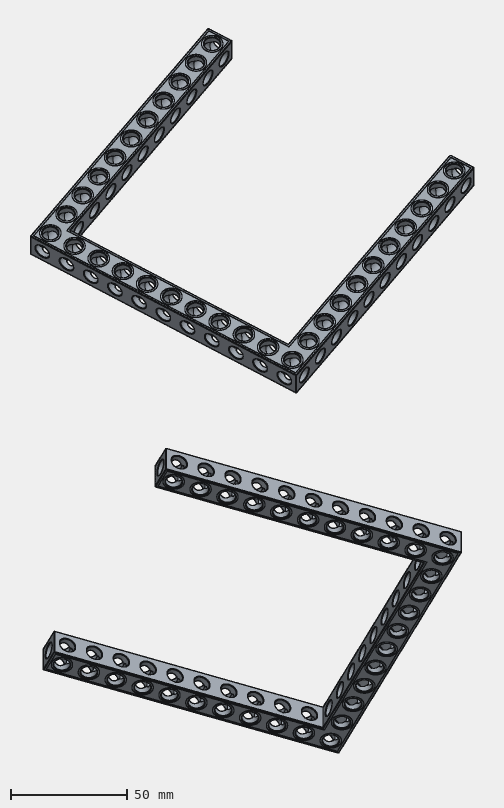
import cadquery as cq

side_length = 137.5
hole_count = 11
pitch = side_length / hole_count
beam_width = pitch
beam_height = pitch

bore_diameter = 7.0
collar_diameter = 9.2
bevel = 0.3
recess_depth = 0.2
mouth_diameter = bore_diameter + 2 * bevel
rim_width = (collar_diameter - bore_diameter) / 2

half_side = side_length / 2
half_height = beam_height / 2
inner_half_side = half_side - beam_width
hole_places = [(i - (hole_count - 1) / 2) * pitch for i in range(hole_count)]
first_place = hole_places[0]
last_place = hole_places[-1]


def u_prism(inset, height):
    """U open towards +Y, with its outline moved inwards by the inset, standing on Z = 0."""
    outer = half_side - inset
    inner = inner_half_side + inset
    outline = [
        (-outer, -outer),
        (outer, -outer),
        (outer, outer),
        (inner, outer),
        (inner, -inner),
        (-inner, -inner),
        (-inner, outer),
        (-outer, outer),
    ]
    return cq.Workplane("XY").polyline(outline).close().extrude(height)


def bevelled_frame():
    """Solid U, centred on Z = 0, bevelled on all edges but the two upright inside corners."""
    frame = u_prism(0, beam_height).translate((0, 0, -half_height))
    inside_corners = frame.edges("|Z").edges(
        cq.selectors.BoxSelector(
            (-inner_half_side - bevel, -inner_half_side - bevel, -half_height),
            (inner_half_side + bevel, -inner_half_side + bevel, half_height),
        )
    )
    kept_sharp = inside_corners.vals()
    bevelled = [edge for edge in frame.edges().vals() if not any(edge.isSame(k) for k in kept_sharp)]
    return frame.newObject(bevelled).chamfer(bevel)


def vertical_hole_places():
    """Hole centres along the base and both arms of the U."""
    base = [(x, first_place) for x in hole_places]
    arms = [(x, y) for x in (first_place, last_place) for y in hole_places[1:]]
    return base + arms


def face_recess():
    """Shallow pocket inside the rim, leaving a raised collar around each hole."""
    collars = (
        cq.Workplane("XY")
        .pushPoints(vertical_hole_places())
        .circle(collar_diameter / 2)
        .extrude(recess_depth)
    )
    return u_prism(rim_width, recess_depth).cut(collars)


def straight_hole(start, direction, length):
    """Bore with a bevelled mouth at both ends."""
    near_end = cq.Vector(*start)
    axis = cq.Vector(*direction)
    far_end = near_end + axis * length
    bore = cq.Solid.makeCylinder(bore_diameter / 2, length, near_end, axis)
    near_mouth = cq.Solid.makeCone(mouth_diameter / 2, bore_diameter / 2, bevel, near_end, axis)
    far_mouth = cq.Solid.makeCone(mouth_diameter / 2, bore_diameter / 2, bevel, far_end, axis * -1)
    return [bore, near_mouth, far_mouth]


def all_holes():
    """Vertical holes, holes across each beam, and lengthwise holes through whole beams."""
    holes = []
    for x, y in vertical_hole_places():
        holes += straight_hole((x, y, -half_height), (0, 0, 1), beam_height)

    for x in hole_places:
        run = side_length if x in (first_place, last_place) else beam_width
        holes += straight_hole((x, -half_side, 0), (0, 1, 0), run)

    holes += straight_hole((-half_side, first_place, 0), (1, 0, 0), side_length)
    for y in hole_places[1:]:
        for arm_side in (-half_side, inner_half_side):
            holes += straight_hole((arm_side, y, 0), (1, 0, 0), beam_width)
    return holes


body = bevelled_frame()

recess = face_recess()
body = body.cut(recess.translate((0, 0, half_height - recess_depth)))
body = body.cut(recess.translate((0, 0, -half_height)))

result = cq.Workplane(body.val().cut(*all_holes())).solids()